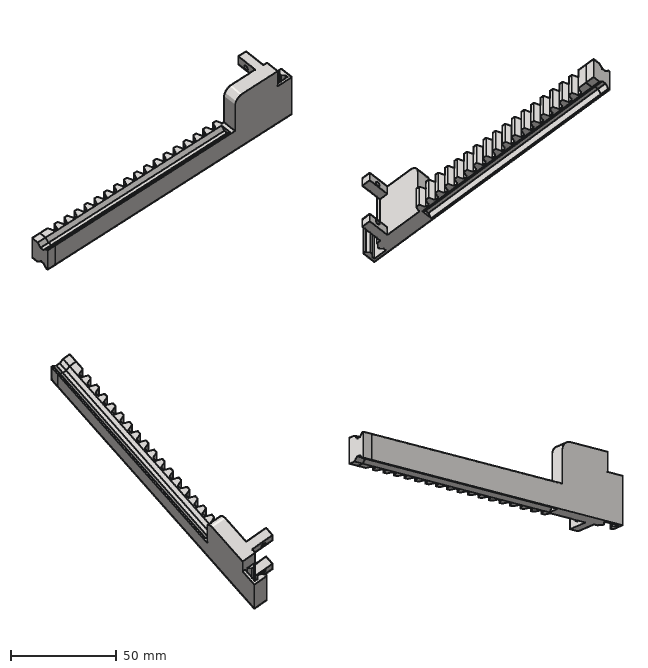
import cadquery as cq
import math


total_width = 20.0
total_length = 155.8
total_height = 35.0

bar_width = 11.0
bar_height = 13.1
tooth_depth = 3.1
pressure_angle = math.radians(20)
tooth_gaps = 17
first_gap_edge = 10.0
rack_length = 107.3
end_block_length = 5.0

groove_width = 6.0
groove_depth = 2.0
groove_end = 117.1

plate_start = 119.5
plate_end = 146.7
corner_radius = 5.0
back_strip_recess = 0.3

lug_height = 5.5
lug_width = 5.0
lug_setback = 2.3
lug_hole_diameter = 2.5
lug_hole_from_tip = 5.5
lug_hole_inset = 3.7

clip_height = 24.9
clip_wall = 1.5
bead_width = 4.0
bead_height = 1.4
bead_x = 15.0

bar_left = total_width - bar_width
plate_left = bar_left + tooth_depth
plate_thickness = total_width - plate_left
groove_centre = plate_left + plate_thickness / 2
pitch = rack_length / tooth_gaps
flank_run = tooth_depth * math.tan(pressure_angle)
gap_tip_width = pitch / 2 + flank_run
lug_back = plate_end - lug_setback
lug_front = lug_back - lug_width
strip_left = plate_left + back_strip_recess


def block(x0, x1, y0, y1, z0, z1):
    """Box given by its limits along each axis."""
    return cq.Workplane("XY").box(x1 - x0, y1 - y0, z1 - z0, centered=False).translate((x0, y0, z0))


def tooth_gap(index):
    """Straight-sided cut between two teeth, wide at the tips and narrow at the root."""
    start = first_gap_edge + index * pitch
    end = start + gap_tip_width
    return (
        cq.Workplane("XY")
        .moveTo(bar_left, start)
        .lineTo(plate_left, start + flank_run)
        .lineTo(plate_left, end - flank_run)
        .lineTo(bar_left, end)
        .close()
        .extrude(bar_height)
    )


def last_tooth_relief():
    """Cut that gives the tooth next to the plate its sloping outer flank."""
    start = first_gap_edge + rack_length
    return (
        cq.Workplane("XY")
        .moveTo(bar_left, start)
        .lineTo(plate_left, start + flank_run)
        .lineTo(plate_left, plate_start)
        .lineTo(bar_left, plate_start)
        .close()
        .extrude(bar_height)
    )


def guide_groove(face_z, inward):
    """Groove with 45 degree sides and a flat floor; inward is +1 or -1, the way it sinks along Z."""
    half_mouth = groove_width / 2
    half_floor = half_mouth - groove_depth
    floor_z = face_z + inward * groove_depth
    return (
        cq.Workplane("XZ")
        .polyline([
            (groove_centre - half_mouth, face_z),
            (groove_centre - half_floor, floor_z),
            (groove_centre + half_floor, floor_z),
            (groove_centre + half_mouth, face_z),
        ])
        .close()
        .extrude(-groove_end)
    )


def grooved_bar(y0, y1):
    """Stretch of the bar before its teeth are cut, with both guide grooves."""
    bar = block(bar_left, total_width, y0, y1, 0, bar_height)
    return bar.cut(guide_groove(bar_height, -1)).cut(guide_groove(0, 1))


def plate():
    """Upright plate with one rounded top corner and a slightly recessed strip behind the lugs."""
    upright = block(plate_left, total_width, plate_start, plate_end, 0, total_height)
    upright = upright.edges("|X and >Z and <Y").fillet(corner_radius)
    recess = block(plate_left, strip_left, lug_back, plate_end, 0, total_height)
    return upright.cut(recess)


def lug(base_z, hole_z):
    """Square arm reaching out from the plate, with a hole through it along Y."""
    arm = block(0, plate_left, lug_front, lug_back, base_z, base_z + lug_height)
    hole = (
        cq.Workplane("XZ", origin=(0, lug_front, 0))
        .center(lug_hole_from_tip, hole_z)
        .circle(lug_hole_diameter / 2)
        .extrude(-lug_width)
    )
    return arm.cut(hole)


def bead(face_y, outward):
    """Rib with 45 degree sides on a clip face; outward is +1 or -1, the way it stands out along Y."""
    half_base = bead_width / 2
    half_crest = half_base - bead_height
    crest_y = face_y + outward * bead_height
    return (
        cq.Workplane("XY")
        .polyline([
            (bead_x - half_base, face_y),
            (bead_x - half_crest, crest_y),
            (bead_x + half_crest, crest_y),
            (bead_x + half_base, face_y),
        ])
        .close()
        .extrude(clip_height)
    )


def clip():
    """Hooked wall behind the plate, with two beads facing each other."""
    lip_face = total_length - clip_wall
    wall = block(total_width - clip_wall, total_width, plate_end, total_length, 0, clip_height)
    lip = block(strip_left, total_width, lip_face, total_length, 0, clip_height)
    return wall.union(lip).union(bead(lip_face, -1)).union(bead(plate_end, 1))


def rack_holder():
    """Toothed bar, plate, lugs and clip as one solid."""
    body = grooved_bar(end_block_length, plate_start)
    for index in range(tooth_gaps):
        body = body.cut(tooth_gap(index))
    body = body.cut(last_tooth_relief())
    body = body.union(plate())
    body = body.union(lug(0, lug_hole_inset))
    body = body.union(lug(total_height - lug_height, total_height - lug_hole_inset))
    return body.union(clip())


def end_block():
    """Plain piece that carries the grooved bar on to its free end."""
    return grooved_bar(0, end_block_length)


result = cq.Compound.makeCompound([rack_holder().val(), end_block().val()])